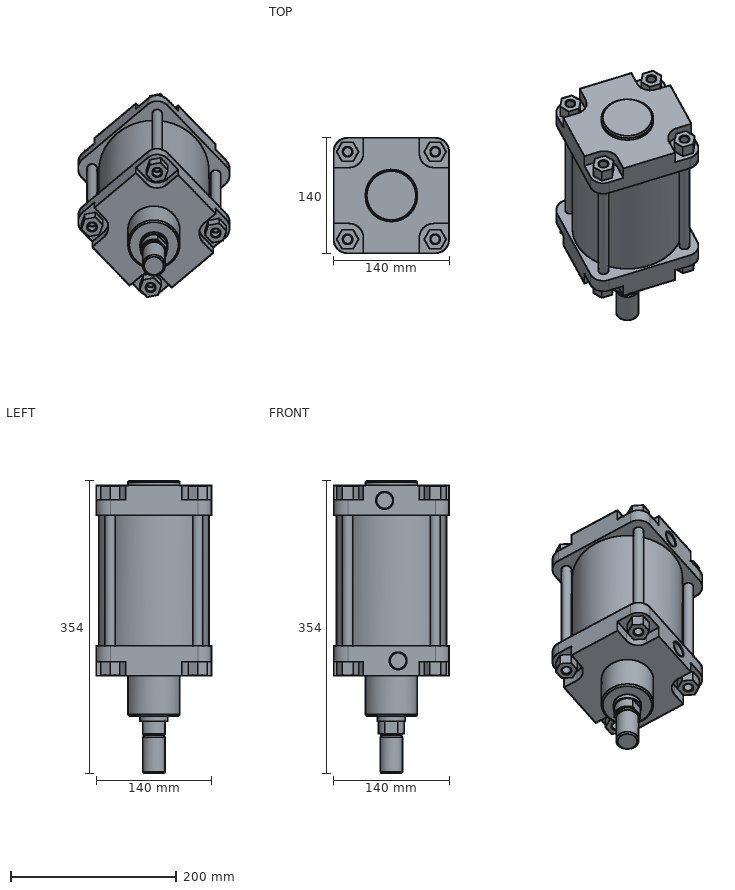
import cadquery as cq
import math


total_height = 354.0
cap_side = 140.0
cap_height = 36.5
cap_corner_radius = 17.0
barrel_diameter = 133.5
barrel_length = 157.5

spigot_diameter = 63.0
spigot_chamfer = 1.95
rear_boss_height = 5.5
neck_length = 48.5

tie_rod_offset = cap_side / 2 - cap_corner_radius
tie_rod_diameter = 12.5
nut_across_flats = 23.0
nut_height = 16.3
nut_bore_diameter = 10.5
nut_bore_chamfer = 0.9

recess_side = 36.0
recess_depth = 17.5
recess_corner_radius = 17.5

port_diameter = 19.5
port_chamfer = 0.9
port_depth = 21.2
port_offset = 8.0

collar_diameter = 33.5
collar_projection = 6.5
wrench_diameter = 31.5
wrench_across_flats = 27.3
wrench_length = 15.0
thread_diameter = 27.3
thread_chamfer = 1.95
relief_height = 2.3

rear_cap_top = total_height - rear_boss_height
barrel_top = rear_cap_top - cap_height
barrel_bottom = barrel_top - barrel_length
front_cap_bottom = barrel_bottom - cap_height
upper_nut_seat = rear_cap_top - recess_depth
lower_nut_seat = front_cap_bottom + recess_depth
neck_bottom = front_cap_bottom - neck_length
collar_bottom = neck_bottom - collar_projection
wrench_bottom = collar_bottom - wrench_length
thread_top = wrench_bottom - relief_height

tie_rod_places = [
    (x_sign * tie_rod_offset, y_sign * tie_rod_offset)
    for x_sign in (-1, 1)
    for y_sign in (-1, 1)
]


def cylinder(diameter, z_low, z_high):
    """Solid round bar on the Z axis between two levels."""
    return cq.Workplane("XY", origin=(0, 0, z_low)).circle(diameter / 2).extrude(z_high - z_low)


def corner_recess(z_low):
    """Square cutter for the +X +Y corner, rounded on its upright edge nearest the axis."""
    center = (cap_side - recess_side) / 2
    return (
        cq.Workplane("XY", origin=(center, center, z_low))
        .rect(recess_side, recess_side)
        .extrude(recess_depth)
        .edges("|Z")
        .edges("<X and <Y")
        .fillet(recess_corner_radius)
    )


def air_port(x, z):
    """Blind port cutter entering the -Y face, with a chamfered mouth."""
    radius = port_diameter / 2
    return (
        cq.Workplane("XY")
        .lineTo(radius + port_chamfer, 0)
        .lineTo(radius, port_chamfer)
        .lineTo(radius, port_depth)
        .lineTo(0, port_depth)
        .close()
        .revolve(360, (0, 0, 0), (0, 1, 0))
        .translate((x, -cap_side / 2, z))
    )


def make_cap(z_low, recess_z_low, port_x):
    """Square end cap with four corner recesses, tie-rod holes and an air port."""
    cap = (
        cq.Workplane("XY", origin=(0, 0, z_low))
        .rect(cap_side, cap_side)
        .extrude(cap_height)
        .edges("|Z")
        .fillet(cap_corner_radius)
    )
    recess = corner_recess(recess_z_low)
    for turn in (0, 90, 180, 270):
        cap = cap.cut(recess.rotate((0, 0, 0), (0, 0, 1), turn))
    tie_rod_holes = (
        cq.Workplane("XY", origin=(0, 0, z_low))
        .pushPoints(tie_rod_places)
        .circle(tie_rod_diameter / 2)
        .extrude(cap_height)
    )
    return cap.cut(tie_rod_holes).cut(air_port(port_x, z_low + cap_height / 2))


def make_rear_cap():
    """Upper cap with a low chamfered boss."""
    boss = cylinder(spigot_diameter, rear_cap_top, total_height).faces(">Z").chamfer(spigot_chamfer)
    return make_cap(barrel_top, upper_nut_seat, -port_offset).union(boss)


def make_front_cap():
    """Lower cap with a chamfered neck, bored through for the piston rod."""
    neck = cylinder(spigot_diameter, neck_bottom, front_cap_bottom).faces("<Z").chamfer(spigot_chamfer)
    rod_bore = cylinder(collar_diameter, neck_bottom, barrel_bottom)
    cap = make_cap(front_cap_bottom, front_cap_bottom, port_offset)
    return cap.union(neck).cut(rod_bore)


def make_barrel():
    """Cylinder barrel between the two caps."""
    return cylinder(barrel_diameter, barrel_bottom, barrel_top)


def make_nut():
    """Hexagonal nut standing on Z = 0, with a blind bore chamfered at its mouth."""
    across_corners = nut_across_flats / math.cos(math.pi / 6)
    return (
        cq.Workplane("XY")
        .polygon(6, across_corners)
        .extrude(nut_height)
        .faces(">Z")
        .workplane()
        .circle(nut_bore_diameter / 2)
        .cutBlind(-nut_height)
        .faces(">Z")
        .edges("%CIRCLE")
        .chamfer(nut_bore_chamfer)
    )


def make_tie_rod(x, y):
    """Tie rod through both caps with a nut at each end."""
    nut = make_nut()
    upper_nut = nut.translate((0, 0, upper_nut_seat))
    lower_nut = nut.mirror("XY").translate((0, 0, lower_nut_seat))
    rod = cylinder(tie_rod_diameter, lower_nut_seat, upper_nut_seat)
    return rod.union(upper_nut).union(lower_nut).translate((x, y, 0))


def make_piston_rod():
    """Stepped rod: collar, two-flat wrench section and threaded end, with a V relief between them."""
    collar = cylinder(collar_diameter, collar_bottom, barrel_bottom)
    flats = (
        cq.Workplane("XY", origin=(0, 0, wrench_bottom))
        .rect(collar_diameter, wrench_across_flats)
        .extrude(wrench_length)
    )
    wrench = cylinder(wrench_diameter, wrench_bottom, collar_bottom).intersect(flats)
    relief = cylinder(thread_diameter, thread_top, wrench_bottom).faces("<Z").chamfer(thread_chamfer)
    thread = cylinder(thread_diameter, 0, thread_top).faces("<Z or >Z").chamfer(thread_chamfer)
    return collar.union(wrench).union(relief).union(thread)


rear_cap = make_rear_cap()
front_cap = make_front_cap()
barrel = make_barrel()
piston_rod = make_piston_rod()
tie_rods = [make_tie_rod(x, y) for x, y in tie_rod_places]

result = cq.Compound.makeCompound(
    [
        rear_cap.val(),
        front_cap.val(),
        barrel.val(),
        piston_rod.val(),
        *[tie_rod.val() for tie_rod in tie_rods],
    ]
)